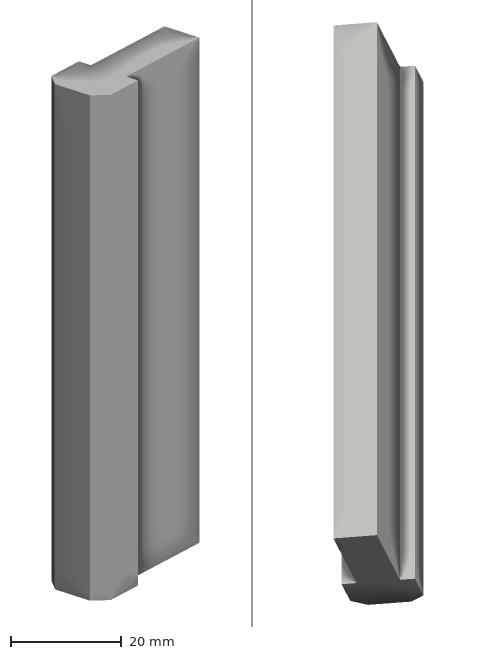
import cadquery as cq

length = 100.0
total_depth = 32.0
head_width = 13.5
head_depth = 10.5
stem_width = 8.0
bevel_depth = 2.5
bevel_width = 2.75

half_head = head_width / 2
half_stem = stem_width / 2
half_nose = half_head - bevel_width


def t_profile():
    """Right half of the T-shaped section, mirrored about the Y axis."""
    return (
        cq.Workplane("XY")
        .moveTo(0, 0)
        .lineTo(half_nose, 0)
        .lineTo(half_head, bevel_depth)
        .lineTo(half_head, head_depth)
        .lineTo(half_stem, head_depth)
        .lineTo(half_stem, total_depth)
        .lineTo(0, total_depth)
        .mirrorY()
    )


result = t_profile().extrude(length)